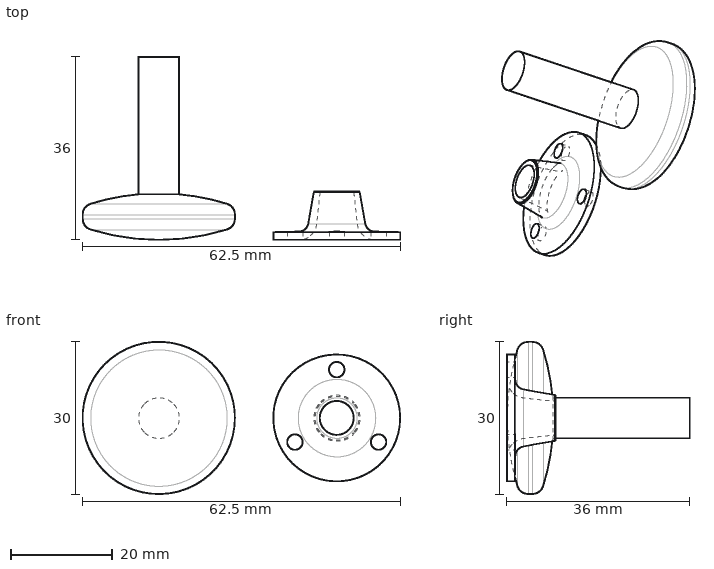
import cadquery as cq
import math


knob_radius = 15.0
knob_depth = 9.2
dome_height = 2.55
rim_round = 2.25
shaft_radius = 4.0
knob_length = 36.0

bush_offset = 35.0
flange_radius = 12.5
flange_thickness = 1.7
flange_rim_thickness = 1.55
bush_length = 9.6
boss_tip_radius = 4.5
boss_draft = math.radians(10)
boss_root_round = 1.9
boss_tip_chamfer = 0.2

bore_tip_radius = 3.3
bore_draft = math.radians(6)
mouth_radius = 7.6

hole_count = 3
hole_radius = 1.5
hole_circle_radius = 9.5


def revolve_about_y(profile):
    """Revolve a closed XY profile about the Y axis."""
    return profile.close().revolve(360, (0, 0, 0), (0, 1, 0))


def make_knob():
    """Double-domed disc with a rounded rim and a plain shaft at the back."""
    dome_sphere_radius = (knob_radius**2 + dome_height**2) / (2 * dome_height)
    mid_radius = knob_radius / 2
    mid_drop = dome_sphere_radius - math.sqrt(dome_sphere_radius**2 - mid_radius**2)
    disc = revolve_about_y(
        cq.Workplane("XY")
        .moveTo(0, 0)
        .threePointArc((mid_radius, mid_drop), (knob_radius, dome_height))
        .lineTo(knob_radius, knob_depth - dome_height)
        .threePointArc((mid_radius, knob_depth - mid_drop), (0, knob_depth))
    )
    disc = disc.faces("%CYLINDER").edges("%CIRCLE").fillet(rim_round)
    shaft_start = knob_depth / 2
    shaft = (
        cq.Workplane("XZ", origin=(0, shaft_start, 0))
        .circle(shaft_radius)
        .extrude(shaft_start - knob_length)
    )
    return disc.union(shaft)


def make_bush_blank():
    """Flange with a slightly conical back and a tapered boss, filleted where they meet."""
    taper_start = flange_thickness + boss_root_round * (1 - math.sin(boss_draft))
    taper_radius = boss_tip_radius + (bush_length - taper_start) * math.tan(boss_draft)
    round_center = taper_radius + boss_root_round * math.cos(boss_draft)
    arc_angle = (math.pi / 2 - boss_draft) / 2
    arc_middle = (
        round_center - boss_root_round * math.sin(arc_angle),
        flange_thickness + boss_root_round * (1 - math.cos(arc_angle)),
    )
    chamfer_start = bush_length - boss_tip_chamfer
    return revolve_about_y(
        cq.Workplane("XY")
        .moveTo(0, 0)
        .lineTo(flange_radius, 0)
        .lineTo(flange_radius, flange_rim_thickness)
        .lineTo(round_center, flange_thickness)
        .threePointArc(arc_middle, (taper_radius, taper_start))
        .lineTo(boss_tip_radius + boss_tip_chamfer * math.tan(boss_draft), chamfer_start)
        .lineTo(boss_tip_radius - boss_tip_chamfer, bush_length)
        .lineTo(0, bush_length)
    )


def make_bore():
    """Tapered bore that flares through a round into the flat flange face."""
    tip_to_mouth = mouth_radius - bore_tip_radius - bush_length * math.tan(bore_draft)
    round_factor = math.cos(bore_draft) - (1 - math.sin(bore_draft)) * math.tan(bore_draft)
    mouth_round = tip_to_mouth / round_factor
    throat_depth = mouth_round * (1 - math.sin(bore_draft))
    throat_radius = mouth_radius - mouth_round * math.cos(bore_draft)
    arc_angle = (math.pi / 2 - bore_draft) / 2
    arc_middle = (
        mouth_radius - mouth_round * math.sin(arc_angle),
        mouth_round * (1 - math.cos(arc_angle)),
    )
    return revolve_about_y(
        cq.Workplane("XY")
        .moveTo(0, 0)
        .lineTo(mouth_radius, 0)
        .threePointArc(arc_middle, (throat_radius, throat_depth))
        .lineTo(bore_tip_radius, bush_length)
        .lineTo(0, bush_length)
    )


def make_fixing_holes():
    """Through holes evenly spaced around the flange, the first at the top."""
    return (
        cq.Workplane("XZ")
        .polarArray(hole_circle_radius, 90, 360, hole_count)
        .circle(hole_radius)
        .extrude(-flange_thickness)
    )


def make_bush():
    """Flanged bush, moved to its place beside the knob."""
    bush = make_bush_blank().cut(make_bore()).cut(make_fixing_holes())
    return bush.translate((bush_offset, 0, 0))


knob = make_knob()
bush = make_bush()
result = cq.Compound.makeCompound([knob.val(), bush.val()])